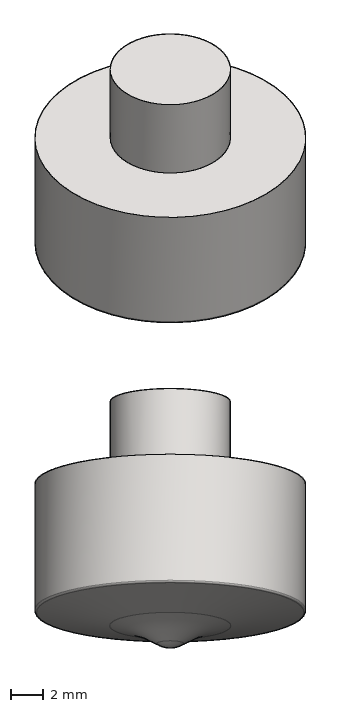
import cadquery as cq
import math

total_height = 15.72
body_radius = 8.45
body_top = 10.45
stem_radius = 7.5 / 2
rim_fillet = 0.14

tip_radius = 1.59
flare_radius = 8.53
steep_angle = math.radians(32)
cone_angle = math.radians(10.7)


def tip_point(angle):
    """Point (r, z) on the convex tip where its slope is the given angle."""
    return (tip_radius * math.sin(angle), tip_radius * (1 - math.cos(angle)))


tip_end = tip_point(steep_angle)


def flare_point(angle):
    """Point (r, z) on the concave flare, which leaves the tip tangentially."""
    r = tip_end[0] + flare_radius * (math.sin(steep_angle) - math.sin(angle))
    z = tip_end[1] + flare_radius * (math.cos(angle) - math.cos(steep_angle))
    return (r, z)


flare_end = flare_point(cone_angle)

rim_center_r = body_radius - rim_fillet
cone_rise = (rim_center_r - flare_end[0]) * math.tan(cone_angle)
rim_center_z = flare_end[1] + cone_rise + rim_fillet / math.cos(cone_angle)


def rim_point(angle):
    """Point (r, z) on the rim round where its slope is the given angle."""
    r = rim_center_r + rim_fillet * math.sin(angle)
    z = rim_center_z - rim_fillet * math.cos(angle)
    return (r, z)


wall_angle = math.pi / 2

profile = (
    cq.Workplane("XZ")
    .moveTo(0, 0)
    .threePointArc(tip_point(steep_angle / 2), tip_end)
    .threePointArc(flare_point((steep_angle + cone_angle) / 2), flare_end)
    .lineTo(*rim_point(cone_angle))
    .threePointArc(rim_point((cone_angle + wall_angle) / 2), rim_point(wall_angle))
    .lineTo(body_radius, body_top)
    .lineTo(stem_radius, body_top)
    .lineTo(stem_radius, total_height)
    .lineTo(0, total_height)
    .close()
)
result = profile.revolve(360, (0, 0, 0), (0, 1, 0))